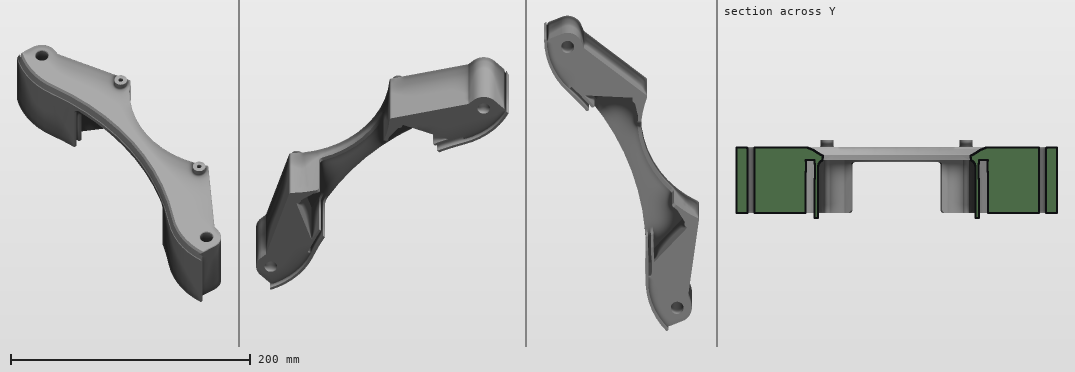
import cadquery as cq
import math

half_length = 136.0
total_height = 65.0
plate_top = 59.4
body_bottom = 4.4

end_arc_x = 112.7
end_arc_radius = 62.3
front_apex_y = 24.8
middle_arc_radius = (end_arc_x**2 + front_apex_y**2) / (2 * front_apex_y) - end_arc_radius
middle_arc_y = front_apex_y - middle_arc_radius

skirt_thickness = 2.2
skirt_shoulder = 0.5
bevel_bottom = 53.0
bevel_top = 57.7
bevel_depth = 2.7
bevelled_depth = 4.4
groove_width = 2.5
groove_depth = skirt_thickness + groove_width
front_wall_depth = 6.8

side_x = 134.0
ear_top_y = 32.0
ear_radius = 12.3
ear_x = side_x - ear_radius
ear_y = ear_top_y - ear_radius
slope_start_x = 115.7
tip_x = 57.2
tip_radius = 2.2
rear_arc_y = 126.0
rear_arc_radius = 83.0
front_corner_radius = 3.8
plate_chamfer = 0.5

ear_hole_diameter = 10.5
pin_diameter = 10.5
pin_hole_diameter = 3.8
pin_fillet = 1.4
pin_x = 58.0
pin_y = 56.0

pocket_top = 48.7
rear_wall_thickness = 3.0
ledge_x = 43.3
boss_radius = 3.5
boss_half_angle = 48.0
pocket_side_angle = 65.0
opening_half_width = 65.3
opening_corner_radius = 5.5
window_half_width = 36.8
window_top = 46.8
window_corner_radius = 2.7


def end_arc_point(depth, angle):
    """Point on the left end arc, moved inwards by depth; angle is measured from -Y."""
    radius = end_arc_radius - depth
    turn = math.radians(angle)
    return (-end_arc_x + radius * math.sin(turn), end_arc_radius - radius * math.cos(turn))


def mirrored(point):
    """The same point on the other side of the plane x = 0."""
    return (-point[0], point[1])


def rear_circle_y(x, radius):
    """Height in Y of the circle of this radius about the centre of the rear arc."""
    return rear_arc_y - math.sqrt(radius**2 - x**2)


def draw_front_curve(start, depth):
    """Continue from start, on the left end arc, along the front curve to its mirror image."""
    start_angle = math.degrees(math.asin((start[0] + end_arc_x) / (end_arc_radius - depth)))
    tangent_angle = math.degrees(math.atan2(end_arc_x, end_arc_radius - middle_arc_y))
    bend = end_arc_point(depth, (start_angle + tangent_angle) / 2)
    joint = end_arc_point(depth, tangent_angle)
    return (
        cq.Workplane("XY")
        .moveTo(*start)
        .threePointArc(bend, joint)
        .threePointArc((0, front_apex_y + depth), mirrored(joint))
        .threePointArc(mirrored(bend), mirrored(start))
    )


def make_body():
    margin = 0.3
    body_arc_radius = end_arc_radius - skirt_thickness
    front_corner_y = end_arc_radius - math.sqrt(body_arc_radius**2 - (side_x - end_arc_x)**2)
    front_corner = (-side_x, front_corner_y)
    ear_side = (-side_x, ear_y)
    ear_diagonal = ear_radius * math.sqrt(0.5)
    ear_bend = (-ear_x - ear_diagonal, ear_y + ear_diagonal)
    ear_top = (-ear_x, ear_top_y)
    slope_start = (-slope_start_x, ear_top_y)
    tip = (-tip_x, rear_circle_y(tip_x, rear_arc_radius))
    outline = (
        draw_front_curve(front_corner, skirt_thickness)
        .lineTo(*mirrored(ear_side))
        .threePointArc(mirrored(ear_bend), mirrored(ear_top))
        .lineTo(*mirrored(slope_start))
        .lineTo(*mirrored(tip))
        .threePointArc((0, rear_arc_y - rear_arc_radius), tip)
        .lineTo(*slope_start)
        .lineTo(*ear_top)
        .threePointArc(ear_bend, ear_side)
        .close()
    )
    body = outline.extrude(plate_top - body_bottom).translate((0, 0, body_bottom))
    body = body.edges("|Z").edges(">Y").fillet(tip_radius)
    front_corners = cq.selectors.BoxSelector(
        (-half_length, front_corner_y - margin, 0), (half_length, front_corner_y + margin, plate_top)
    )
    body = body.edges("|Z").edges(front_corners).fillet(front_corner_radius)
    rear_edges = cq.selectors.BoxSelector(
        (-half_length, ear_y - ear_radius, plate_top - margin),
        (half_length, rear_arc_y, plate_top + margin),
    )
    return body.edges(rear_edges).chamfer(plate_chamfer)


def sweep_along_front(profile):
    """Sweep points (depth behind the front curve, z) along it, with square-cut ends."""
    end_angle = -math.degrees(math.asin((half_length - end_arc_x) / end_arc_radius))
    start = end_arc_point(0, end_angle)
    inner = end_arc_point(2.7, end_angle)
    inward_x = inner[0] - start[0]
    inward_y = inner[1] - start[1]
    profile_plane = cq.Plane(
        origin=(start[0], start[1], 0), xDir=(inward_x, inward_y, 0), normal=(inward_y, -inward_x, 0)
    )
    path = draw_front_curve(start, 0)
    return cq.Workplane(profile_plane).polyline(profile).close().sweep(path)


def make_skirt():
    return sweep_along_front(
        [(0, 0), (0, plate_top), (skirt_thickness, plate_top), (skirt_thickness, 0)]
    )


def make_bevel_cutter():
    """Material in front of the shoulder, the steep bevel and the top bevel."""
    clearance = 2.7
    return sweep_along_front([
        (0, bevel_bottom - skirt_shoulder),
        (skirt_shoulder, bevel_bottom),
        (bevel_depth, bevel_top),
        (bevelled_depth, plate_top),
        (bevelled_depth, plate_top + clearance),
        (-clearance, plate_top + clearance),
        (-clearance, bevel_bottom - skirt_shoulder),
    ])


def make_groove():
    """Slot between the skirt and the front wall, as long as the middle arc."""
    joint_turn = math.atan2(end_arc_x, end_arc_radius - middle_arc_y)

    def arc_point(depth, turn):
        radius = middle_arc_radius + depth
        return (radius * math.sin(turn), middle_arc_y + radius * math.cos(turn))

    return (
        cq.Workplane("XY")
        .moveTo(*arc_point(skirt_thickness, -joint_turn))
        .threePointArc(arc_point(skirt_thickness, 0), arc_point(skirt_thickness, joint_turn))
        .lineTo(*arc_point(groove_depth, joint_turn))
        .threePointArc(arc_point(groove_depth, 0), arc_point(groove_depth, -joint_turn))
        .close()
        .extrude(pocket_top)
    )


def make_pocket():
    """Space behind the front wall, drawn round the screw bosses below the pins."""
    side_turn = math.radians(pocket_side_angle)
    boss_turn = math.radians(boss_half_angle)
    boss_dx = boss_radius * math.sin(boss_turn)
    boss_y = pin_y - boss_radius * math.cos(boss_turn)
    boss_outer = (-pin_x - boss_dx, boss_y)
    boss_inner = (-pin_x + boss_dx, boss_y)
    boss_front = (-pin_x, pin_y - boss_radius)

    wall_radius = middle_arc_radius + front_wall_depth
    rise = boss_outer[1] - middle_arc_y
    along = -(boss_outer[0] * math.cos(side_turn) + rise * math.sin(side_turn))
    excess = boss_outer[0]**2 + rise**2 - wall_radius**2
    run = -along - math.sqrt(along**2 - excess)
    wall_point = (boss_outer[0] - run * math.cos(side_turn), boss_outer[1] - run * math.sin(side_turn))

    inner_radius = rear_arc_radius + rear_wall_thickness
    ledge = (-ledge_x, rear_circle_y(ledge_x, inner_radius))
    return (
        cq.Workplane("XY")
        .moveTo(*wall_point)
        .threePointArc((0, front_apex_y + front_wall_depth), mirrored(wall_point))
        .lineTo(*mirrored(boss_outer))
        .threePointArc(mirrored(boss_front), mirrored(boss_inner))
        .lineTo(*mirrored(ledge))
        .threePointArc((0, rear_arc_y - inner_radius), ledge)
        .lineTo(*boss_inner)
        .threePointArc(boss_front, boss_outer)
        .close()
        .extrude(pocket_top)
    )


def make_front_opening():
    depth = front_apex_y + front_wall_depth
    opening = cq.Workplane("XY").box(
        2 * opening_half_width, depth, pocket_top, centered=(True, False, False)
    )
    return opening.edges("|Y and >Z").fillet(opening_corner_radius)


def make_rear_window():
    """Wedge through the rear wall; its sides point at the centre of the rear arc."""
    reach = rear_arc_radius + 2 * rear_wall_thickness
    spread = reach * window_half_width / rear_arc_radius
    far_y = rear_circle_y(spread, reach)
    window = (
        cq.Workplane("XY")
        .moveTo(0, rear_arc_y)
        .lineTo(-spread, far_y)
        .threePointArc((0, rear_arc_y - reach), (spread, far_y))
        .close()
        .extrude(window_top)
    )
    return window.edges(">Z").edges("%LINE").fillet(window_corner_radius)


def make_ear_hole(side):
    hole = cq.Workplane("XY").circle(ear_hole_diameter / 2).extrude(plate_top)
    mouth = (
        cq.Workplane("XY", origin=(0, 0, plate_top))
        .circle(ear_hole_diameter / 2 + plate_chamfer)
        .extrude(-plate_chamfer, taper=45)
    )
    return hole.union(mouth).translate((side * ear_x, ear_y, 0))


def make_pin(side):
    """Pin with a flared foot; its hole stops at the plate."""
    height = total_height - plate_top
    foot_radius = pin_diameter / 2 + pin_fillet
    profile = (
        cq.Workplane("XZ")
        .moveTo(pin_hole_diameter / 2, 0)
        .lineTo(foot_radius, 0)
        .radiusArc((pin_diameter / 2, pin_fillet), pin_fillet)
        .lineTo(pin_diameter / 2, height)
        .lineTo(pin_hole_diameter / 2, height)
        .close()
    )
    pin = profile.revolve(360, (0, 0, 0), (0, 1, 0))
    return pin.translate((side * pin_x, pin_y, plate_top))


def round_rear_wall_ends(part):
    """Round the lower corners of the rear wall on both sides of the window."""
    margin = 0.8
    wall_reach = rear_arc_radius + rear_wall_thickness
    inner_x = wall_reach * window_half_width / rear_arc_radius
    inner_y = rear_circle_y(inner_x, wall_reach)
    outer_y = rear_circle_y(window_half_width, rear_arc_radius)
    for near_x, far_x in ((window_half_width, inner_x), (-inner_x, -window_half_width)):
        corner = cq.selectors.BoxSelector(
            (near_x - margin, inner_y - margin, body_bottom - margin),
            (far_x + margin, outer_y + margin, body_bottom + margin),
        )
        part = part.edges("%LINE").edges("not |Z").edges(corner).fillet(window_corner_radius)
    return part


result = make_body().union(make_skirt()).cut(make_bevel_cutter()).cut(make_groove())
result = result.cut(make_pocket()).cut(make_front_opening()).cut(make_rear_window())
result = round_rear_wall_ends(result)
for side in (-1, 1):
    result = result.cut(make_ear_hole(side)).union(make_pin(side))